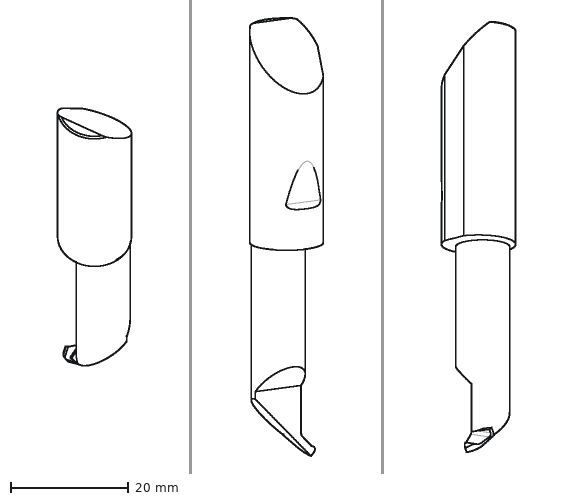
import cadquery as cq
import math

length = 75.9
shank_radius = 6.335
shank_bottom = 37.9
neck_radius = 4.6
neck_offset = shank_radius - neck_radius

rim_width = 0.4
rim_height = 0.2
top_land_y = -4.44
flat_distance = 5.9
flat_angle = 20.0
notch_top = 53.3
notch_bottom = 45.0
notch_depth = 1.1
notch_radius = 1.0

rake_ramp_z = 12.6
tip_x = -4.9
finger_thickness = 1.3
nose_thickness = 1.5
nose_radius = 0.75
nose_ramp = 0.3
relief_angle = 17.0
finger_corner_mid = (1.1, 0.3)
finger_corner_end = (2.4, 1.7)
finger_root = (3.6, 5.0)
root_wall = 4.4
root_radius = 0.5

clearance = 22.75


def make_shank():
    shank = cq.Workplane("XY").workplane(offset=shank_bottom).circle(shank_radius)
    shank = shank.extrude(length - shank_bottom)
    return shank.faces(">Z").chamfer(rim_height, rim_width)


def cut_top_bevel(shank):
    bevel = (
        cq.Workplane("YZ")
        .moveTo(top_land_y, length)
        .lineTo(top_land_y + clearance, length - clearance)
        .lineTo(top_land_y + clearance, length)
        .close()
        .extrude(clearance, both=True)
    )
    return shank.cut(bevel)


def cut_side_flat(shank):
    cutter = (
        cq.Workplane("XY")
        .box(clearance, clearance, 2 * length)
        .translate((-flat_distance - clearance / 2, 0, length / 2))
        .rotate((0, 0, 0), (0, 0, 1), -flat_angle)
    )
    return shank.cut(cutter)


def cut_clamp_notch(shank):
    floor_y = shank_radius - notch_depth
    arc_center = (floor_y + notch_radius, notch_bottom + notch_radius)
    arc_reach = notch_radius * math.sqrt(0.5)
    notch = (
        cq.Workplane("YZ")
        .moveTo(shank_radius, notch_top)
        .lineTo(floor_y, arc_center[1])
        .threePointArc(
            (arc_center[0] - arc_reach, arc_center[1] - arc_reach),
            (arc_center[0], notch_bottom),
        )
        .lineTo(shank_radius + clearance, notch_bottom)
        .lineTo(shank_radius + clearance, notch_top)
        .close()
        .extrude(clearance, both=True)
    )
    return shank.cut(notch)


def make_neck():
    neck = cq.Workplane("XY").center(neck_offset, 0).circle(neck_radius).extrude(shank_bottom)
    below_bevel = (
        cq.Workplane("XZ")
        .moveTo(tip_x, 0)
        .lineTo(tip_x + clearance, clearance)
        .lineTo(tip_x + clearance, 0)
        .close()
        .extrude(clearance, both=True)
    )
    rake_relief = (
        cq.Workplane("YZ")
        .moveTo(0, 0)
        .lineTo(0, rake_ramp_z)
        .lineTo(clearance, rake_ramp_z + clearance)
        .lineTo(clearance, 0)
        .close()
        .extrude(clearance, both=True)
    )
    return neck.cut(below_bevel).cut(rake_relief)


def make_finger():
    bevel_plane = cq.Plane(origin=(tip_x, 0, 0), xDir=(0, -1, 0), normal=(-1, 0, 1))
    return (
        cq.Workplane(bevel_plane)
        .threePointArc(finger_corner_mid, finger_corner_end)
        .lineTo(*finger_root)
        .lineTo(0, finger_root[1])
        .close()
        .extrude(nose_thickness)
    )


def grind_finger_relief(tool):
    drop = math.tan(math.radians(relief_angle)) * math.sqrt(0.5)
    ground_plane = cq.Plane(origin=(tip_x, 0, 0), xDir=(1, 0, 1), normal=(drop, -1, -drop))
    arc_reach = math.sqrt(0.5)
    nose_center_y = nose_thickness - nose_radius
    root_center_x = root_wall - root_radius
    root_center_y = finger_thickness + root_radius
    ground_away = (
        cq.Workplane(ground_plane)
        .moveTo(-clearance, nose_center_y)
        .lineTo(0, nose_center_y)
        .threePointArc(
            (nose_radius * (1 - arc_reach), nose_center_y + nose_radius * arc_reach),
            (nose_radius, nose_thickness),
        )
        .lineTo(nose_radius + nose_ramp, finger_thickness)
        .lineTo(root_center_x, finger_thickness)
        .threePointArc(
            (root_center_x + root_radius * arc_reach, root_center_y - root_radius * arc_reach),
            (root_wall, root_center_y),
        )
        .lineTo(root_wall, neck_radius)
        .lineTo(-clearance, neck_radius)
        .close()
        .extrude(shank_radius, both=True)
    )
    return tool.cut(ground_away)


shank = cut_clamp_notch(cut_side_flat(cut_top_bevel(make_shank())))
cutting_end = grind_finger_relief(make_neck().union(make_finger()))
result = shank.union(cutting_end)